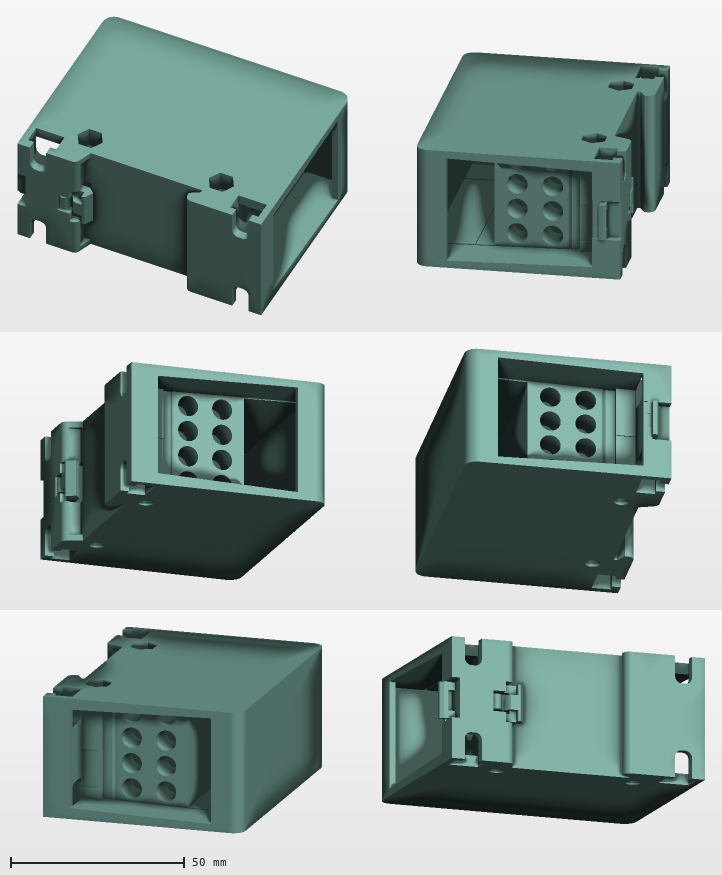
import cadquery as cq
import math

OVERALL_LENGTH = 80.0
LATCH_REACH = 2.1
LENGTH = OVERALL_LENGTH - LATCH_REACH
DEPTH = 60.1
HEIGHT = 36.0
MID_X = LENGTH / 2
MID_Z = HEIGHT / 2
CORNER_RADIUS = 3.6

BASE_TOP = 8.2
OPENING_TOP = 50.9
CAP_SEAM = 52.2
CAP_INNER_TOP = 57.6
CAP_WALL = 1.9
WALL_AT_BASE = 3.3
WALL_AT_CAP = 2.2

SEAT_GROOVE_WIDTH = 0.9
SEAT_GROOVE_DEPTH = 0.6
CROSS_GROOVE_Y = 44.8
CROSS_GROOVE_WIDTH = 0.2

BLOCK_INSET = 14.0
BLOCK_TOP = 39.4
BLOCK_FACE_BOTTOM = 17.4
UPPER_STEP_TOP = 16.6
UPPER_STEP_OUT = 0.6
LOWER_STEP_TOP = 13.9
LOWER_STEP_OUT = 2.4
STEP_RECESS_BOTTOM = 6.3
STEP_RECESS_DEPTH = 0.4
WIRE_HOLE_DIAMETER = 6.1
WIRE_HOLE_DEPTH = 9.6
WIRE_HOLE_PITCH_Z = 7.6
WIRE_HOLE_ROWS = 4
WIRE_HOLE_COLUMNS = (22.3, 32.7)

NOTCH_LEFT = 20.8
NOTCH_RIGHT = 56.4
NOTCH_DEPTH = 5.5
LEFT_LIP_X = 18.7
RIGHT_LIP_X = 53.4
LIP_RADIUS = 2.0
HOOK_TIP_Y = 2.9
HOOK_ROOT_Y = 4.6
UNDERCUT_X = 18.7
UNDERCUT_Y = 1.7
END_PLATE = 1.8

SCREW_INSET = 6.6
SHANK_POCKET_HEIGHT = 8.1
HEAD_POCKET_HEIGHT = 9.8
SHANK_WIDTH = 5.2
HEAD_WIDTH = 9.0
HEAD_BOTTOM_Y = 2.6
HEAD_TOP_Y = 8.2
POCKET_RADIUS = 2.0

NUT_INSET = 18.0
NUT_Y = 11.0
NUT_FLATS = 7.0
NUT_DEPTH = 6.4
BOLT_DIAMETER = 4.3

LATCH_POCKET_WIDTH = 11.9
LATCH_WIDTH = 10.7
LATCH_BOTTOM_Y = 4.0
LATCH_TOP_Y = 5.8
LATCH_BEVEL_X = -0.9
LATCH_BEVEL_Y = 4.6
HANDLE_POCKET_X = 2.6
HANDLE_LIP_Y = 5.5
HANDLE_LIP_RADIUS = 1.1
HANDLE_RIM_RECESS = 0.5
HANDLE_LIP_NOTCH = 0.2
LATCH_POCKET_Y = 7.0
SLOT_WIDTH = 6.1
HANDLE_SLOT_START = 0.6
TONGUE_WIDTH = 4.4
NOSE_POCKET_START = 16.7
NOSE_POCKET_END = 21.1
ARM_BOTTOM_Y = 2.0
NOSE_TOP_X = 21.0
NOSE_TOP_Y = 4.5
NOSE_TIP_X = 23.0
NOSE_TIP_Y = 2.7
FOOT_START = 20.5
FOOT_END = 21.4
FOOT_CROWN = 0.2
WINDOW_START = 12.9
WINDOW_END = 18.5

BUMP_START_Y = 1.4
BUMP_PEAK = (14.1, 0.2)
BUMP_END = (15.6, 1.0)
VALLEY_START_X = 16.2
VALLEY_END_X = 16.7
VALLEY_Y = 2.0
RISE_END = (17.6, 0.5)
TONGUE_FLAT_START = 18.2


def box(x0, x1, y0, y1, z0, z1):
    return cq.Workplane("XY").box(x1 - x0, y1 - y0, z1 - z0, centered=False).translate((x0, y0, z0))


def mid_slab(outline, width):
    """Extrudes a closed XY outline by width, centred on the mid height."""
    return outline.extrude(width).translate((0, 0, MID_Z - width / 2))


def mid_box(x0, x1, y0, y1, width):
    return box(x0, x1, y0, y1, MID_Z - width / 2, MID_Z + width / 2)


def mirrored_x(shape):
    return shape.union(shape.mirror("YZ", (MID_X, 0, 0)))


def mirrored_z(shape):
    return shape.union(shape.mirror("XY", (0, 0, MID_Z)))


def make_shell():
    shell = box(0, LENGTH, 0, DEPTH, 0, HEIGHT)
    return shell.edges("|Z and >Y").fillet(CORNER_RADIUS)


def make_cavity():
    profile = (
        cq.Workplane("YZ")
        .moveTo(BASE_TOP, WALL_AT_BASE)
        .lineTo(CAP_SEAM, WALL_AT_CAP)
        .lineTo(CAP_INNER_TOP, WALL_AT_CAP)
        .lineTo(CAP_INNER_TOP, HEIGHT - WALL_AT_CAP)
        .lineTo(CAP_SEAM, HEIGHT - WALL_AT_CAP)
        .lineTo(BASE_TOP, HEIGHT - WALL_AT_BASE)
        .close()
    )
    cavity = profile.extrude(LENGTH)
    cap_skirt = box(0, CAP_WALL, OPENING_TOP, DEPTH, 0, HEIGHT)
    return cavity.cut(mirrored_x(cap_skirt))


def make_wall_grooves():
    """Grooves along Y beside the block faces, joined by one along X above the block."""
    upright = box(
        BLOCK_INSET - SEAT_GROOVE_WIDTH,
        BLOCK_INSET,
        BLOCK_FACE_BOTTOM,
        CAP_INNER_TOP,
        WALL_AT_CAP - SEAT_GROOVE_DEPTH,
        MID_Z,
    )
    cross = box(
        BLOCK_INSET,
        MID_X,
        CROSS_GROOVE_Y,
        CROSS_GROOVE_Y + CROSS_GROOVE_WIDTH,
        WALL_AT_CAP - SEAT_GROOVE_DEPTH,
        MID_Z,
    )
    return mirrored_z(mirrored_x(upright.union(cross)))


def make_block_half():
    """Left half of the terminal block: its face, a short ramp and two steps at its foot."""
    foot_x = BLOCK_INSET - LOWER_STEP_OUT
    step_x = BLOCK_INSET - UPPER_STEP_OUT
    half = (
        cq.Workplane("XY")
        .moveTo(MID_X, BASE_TOP)
        .lineTo(foot_x, BASE_TOP)
        .lineTo(foot_x, LOWER_STEP_TOP)
        .lineTo(step_x, LOWER_STEP_TOP)
        .lineTo(step_x, UPPER_STEP_TOP)
        .lineTo(BLOCK_INSET, BLOCK_FACE_BOTTOM)
        .lineTo(BLOCK_INSET, BLOCK_TOP)
        .lineTo(MID_X, BLOCK_TOP)
        .close()
        .extrude(HEIGHT)
    )
    recess_end = foot_x + STEP_RECESS_DEPTH
    return half.cut(box(foot_x, recess_end, BASE_TOP, LOWER_STEP_TOP, STEP_RECESS_BOTTOM, MID_Z))


def make_wire_holes():
    lowest_z = MID_Z - WIRE_HOLE_PITCH_Z * (WIRE_HOLE_ROWS - 1) / 2
    centers = [
        (y, lowest_z + row * WIRE_HOLE_PITCH_Z)
        for y in WIRE_HOLE_COLUMNS
        for row in range(WIRE_HOLE_ROWS)
    ]
    holes = cq.Workplane("YZ", origin=(BLOCK_INSET, 0, 0)).pushPoints(centers)
    return holes.circle(WIRE_HOLE_DIAMETER / 2).extrude(WIRE_HOLE_DEPTH)


def make_notch():
    outline = (
        cq.Workplane("XY")
        .moveTo(LEFT_LIP_X, 0)
        .lineTo(NOTCH_LEFT, NOTCH_DEPTH)
        .lineTo(NOTCH_RIGHT, NOTCH_DEPTH)
        .lineTo(NOTCH_RIGHT, HOOK_ROOT_Y)
        .lineTo(RIGHT_LIP_X, HOOK_TIP_Y)
        .lineTo(RIGHT_LIP_X, 0)
        .close()
    )
    return outline.extrude(HEIGHT)


def round_lips(housing):
    """Rounds the two outer edges of the rail notch."""
    for x in (LEFT_LIP_X, RIGHT_LIP_X):
        housing = housing.edges(cq.NearestToPointSelector((x, 0, MID_Z))).fillet(LIP_RADIUS)
    return housing


def make_notch_undercut():
    """Between the end plates the sloped left wall of the notch is hollowed behind its lip."""
    return box(UNDERCUT_X, NOTCH_LEFT, UNDERCUT_Y, NOTCH_DEPTH, END_PLATE, HEIGHT - END_PLATE)


def round_ended_pocket(width, y0, y1, height):
    x0 = SCREW_INSET - width / 2
    pocket = box(x0, x0 + width, y0, y1, HEIGHT - height, HEIGHT)
    return pocket.edges("|Y and <Z").fillet(POCKET_RADIUS)


def make_screw_pockets():
    head = round_ended_pocket(HEAD_WIDTH, HEAD_BOTTOM_Y, HEAD_TOP_Y, HEAD_POCKET_HEIGHT)
    shank = round_ended_pocket(SHANK_WIDTH, 0, HEAD_TOP_Y, SHANK_POCKET_HEIGHT)
    return mirrored_z(mirrored_x(head.union(shank)))


def make_nut_seats():
    corner_diameter = NUT_FLATS / math.cos(math.pi / 6)
    seat = (
        cq.Workplane("XY", origin=(NUT_INSET, NUT_Y, HEIGHT - NUT_DEPTH))
        .polygon(6, corner_diameter)
        .extrude(NUT_DEPTH)
    )
    bolt = cq.Workplane("XY", origin=(NUT_INSET, NUT_Y, 0)).circle(BOLT_DIAMETER / 2).extrude(HEIGHT)
    return mirrored_x(seat.union(bolt))


def make_handle_pocket():
    """Pocket around the latch handle, under a lip whose inner edge is rounded."""
    lip_start = HANDLE_POCKET_X - HANDLE_LIP_RADIUS
    run = HANDLE_LIP_RADIUS * math.sqrt(0.5)
    outline = (
        cq.Workplane("XY")
        .lineTo(0, HANDLE_LIP_Y)
        .lineTo(lip_start, HANDLE_LIP_Y)
        .threePointArc(
            (lip_start + run, HANDLE_LIP_Y + HANDLE_LIP_RADIUS - run),
            (HANDLE_POCKET_X, HANDLE_LIP_Y + HANDLE_LIP_RADIUS),
        )
        .lineTo(HANDLE_POCKET_X, 0)
        .close()
    )
    pocket = mid_slab(outline, LATCH_POCKET_WIDTH)
    rim_recess = mid_box(0, HANDLE_RIM_RECESS, LATCH_POCKET_Y, BASE_TOP, LATCH_POCKET_WIDTH)
    lip_notch = mid_box(0, HANDLE_LIP_NOTCH, LATCH_TOP_Y, LATCH_POCKET_Y, TONGUE_WIDTH)
    return pocket.union(rim_recess).union(lip_notch)


def make_nose_pocket():
    pocket = mid_box(NOSE_POCKET_START, NOSE_POCKET_END, 0, LATCH_POCKET_Y, LATCH_POCKET_WIDTH)
    window = mid_box(WINDOW_START, NOSE_POCKET_START, 0, LATCH_BOTTOM_Y, SLOT_WIDTH)
    return pocket.union(window)


def make_handle():
    outline = (
        cq.Workplane("XY")
        .moveTo(-LATCH_REACH, LATCH_TOP_Y)
        .lineTo(-LATCH_REACH, LATCH_BEVEL_Y)
        .lineTo(LATCH_BEVEL_X, LATCH_BOTTOM_Y)
        .lineTo(HANDLE_POCKET_X, LATCH_BOTTOM_Y)
        .lineTo(HANDLE_POCKET_X, LATCH_TOP_Y)
        .close()
    )
    handle = mid_slab(outline, LATCH_WIDTH)
    slot = mid_box(HANDLE_SLOT_START, HANDLE_POCKET_X, LATCH_BOTTOM_Y, LATCH_TOP_Y, SLOT_WIDTH)
    return handle.cut(slot)


def make_nose():
    outline = (
        cq.Workplane("XY")
        .moveTo(NOSE_POCKET_START, ARM_BOTTOM_Y)
        .lineTo(FOOT_START, ARM_BOTTOM_Y)
        .lineTo(FOOT_START, FOOT_CROWN)
        .threePointArc(((FOOT_START + FOOT_END) / 2, 0), (FOOT_END, FOOT_CROWN))
        .lineTo(NOSE_TIP_X, NOSE_TIP_Y)
        .lineTo(NOSE_TOP_X, NOSE_TOP_Y)
        .lineTo(NOSE_POCKET_START, NOSE_TOP_Y)
        .close()
    )
    nose = mid_slab(outline, LATCH_WIDTH)
    window = mid_box(NOSE_POCKET_START, WINDOW_END, 0, LATCH_BOTTOM_Y, SLOT_WIDTH)
    return nose.cut(window)


def make_tongue():
    """Spring tongue in the window: a round bump, a valley and a flat end behind the nose."""
    outline = (
        cq.Workplane("XY")
        .moveTo(WINDOW_START, LATCH_BOTTOM_Y)
        .lineTo(WINDOW_START, BUMP_START_Y)
        .threePointArc(BUMP_PEAK, BUMP_END)
        .lineTo(VALLEY_START_X, VALLEY_Y)
        .lineTo(VALLEY_END_X, VALLEY_Y)
        .lineTo(*RISE_END)
        .lineTo(TONGUE_FLAT_START, 0)
        .lineTo(NOSE_POCKET_END, 0)
        .lineTo(NOSE_POCKET_END, LATCH_BOTTOM_Y)
        .close()
    )
    return mid_slab(outline, TONGUE_WIDTH)


housing = make_shell().cut(make_cavity())
block = make_block_half().cut(make_wire_holes())
block = mirrored_x(block).intersect(make_cavity())
housing = housing.cut(make_wall_grooves()).union(block)
housing = round_lips(housing.cut(make_notch()))
for cutter in (
    make_notch_undercut(),
    make_screw_pockets(),
    make_nut_seats(),
    make_handle_pocket(),
    make_nose_pocket(),
):
    housing = housing.cut(cutter)
result = housing.union(make_handle()).union(make_nose()).union(make_tongue())